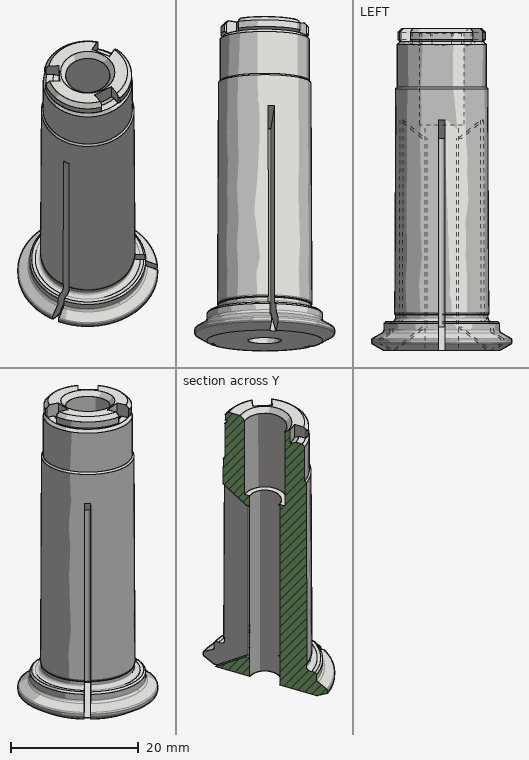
import cadquery as cq
import math

height = 50.5
rim_radius = 21.95 / 2

head_radius = 13.8 / 2
head_chamfer = 0.65
head_base_z = 48.45
groove_depth = 0.35
groove_radius = head_radius - groove_depth

neck_radius = 14.0 / 2
neck_base_z = 41.3
shank_top_radius = 7.25
shank_base_radius = 7.4
shank_base_z = 5.95
shank_end_radius = 7.35
shank_end_z = 5.75

relief_radius = 7.25
relief_top_z = 5.6
relief_base_z = 5.1
relief_outer_radius = 8.25
relief_arc_radius = 0.7
collar_radius = 9.1
collar_top_z = 4.55
collar_chamfer = 0.3

flange_angle = math.radians(30)
flange_base_radius = collar_radius
rim_middle_z = 1.45
rim_fillet = 0.3
collar_fillet = 0.55

bore_radius = 5.2 / 2
counterbore_radius = 6.9 / 2
counterbore_depth = 15.15
bore_mouth_radius = 8.5 / 2

count = 3

slot_width = 1.0
slot_first_angle = 60.0
slot_top_z = 36.1
slot_floor_top_z = 33.25
slot_floor_base_z = 3.75
slot_base_radius = 8.6
slot_floor_radius = 3.25

notch_width = 3.1
notch_first_angle = 0.0
notch_wall_radius = 4.45
notch_flare_start = 6.45
notch_ramp_radius = 10.9 / 2
notch_ramp_angle = math.radians(30)


def spin(profile):
    """Revolve a closed XZ profile a full turn about the Z axis."""
    return profile.revolve(360, (0, 0, 0), (0, 1, 0))


def turned(body, angle):
    """Rotate a body about the Z axis."""
    return body.rotate((0, 0, 0), (0, 0, 1), angle)


def circle_at(radius, z):
    """Select the circular edge of the given radius around the Z axis at height z."""
    margin = 0.025
    reach = radius + margin
    return cq.selectors.BoxSelector(
        (-reach, -reach, z - margin),
        (reach, reach, z + margin),
        boundingbox=True,
    )


def outer_body():
    """Revolve the outside profile, without the bore."""
    flange_rise = (rim_radius - flange_base_radius) * math.tan(flange_angle)
    flange_top_z = 2 * rim_middle_z
    upper_edge_z = flange_top_z - flange_rise
    groove_base_z = head_base_z - (neck_radius - groove_radius)
    neck_step = shank_top_radius - neck_radius
    profile = (
        cq.Workplane("XZ")
        .lineTo(flange_base_radius, 0)
        .lineTo(rim_radius, flange_rise)
        .lineTo(rim_radius, upper_edge_z)
        .lineTo(collar_radius, flange_top_z)
        .lineTo(collar_radius, collar_top_z - collar_chamfer)
        .lineTo(collar_radius - collar_chamfer, collar_top_z)
        .lineTo(relief_outer_radius, collar_top_z)
        .radiusArc((relief_radius, relief_base_z), relief_arc_radius)
        .lineTo(relief_radius, relief_top_z)
        .lineTo(shank_end_radius, shank_end_z)
        .lineTo(shank_base_radius, shank_base_z)
        .lineTo(shank_top_radius, neck_base_z - neck_step)
        .lineTo(neck_radius, neck_base_z)
        .lineTo(neck_radius, groove_base_z)
        .lineTo(groove_radius, head_base_z)
        .lineTo(head_radius, head_base_z + groove_depth)
        .lineTo(head_radius, height - head_chamfer)
        .lineTo(head_radius - head_chamfer, height)
        .lineTo(0, height)
        .close()
    )
    body = spin(profile)
    body = body.edges(circle_at(rim_radius, flange_rise)).fillet(rim_fillet)
    body = body.edges(circle_at(rim_radius, upper_edge_z)).fillet(rim_fillet)
    return body.edges(circle_at(collar_radius, flange_top_z)).fillet(collar_fillet)


def stepped_bore():
    """Through bore with a counterbore and a 45 degree mouth at the upper end."""
    seat_z = height - counterbore_depth
    mouth_depth = bore_mouth_radius - counterbore_radius
    profile = (
        cq.Workplane("XZ")
        .lineTo(bore_radius, 0)
        .lineTo(bore_radius, seat_z)
        .lineTo(counterbore_radius, seat_z)
        .lineTo(counterbore_radius, height - mouth_depth)
        .lineTo(bore_mouth_radius, height)
        .lineTo(0, height)
        .close()
    )
    return spin(profile)


def slot():
    """Lengthwise slot with sloping ends and a round-bottomed floor."""
    outside = rim_radius + slot_width
    blade = (
        cq.Workplane("XZ")
        .moveTo(slot_base_radius, 0)
        .lineTo(outside, 0)
        .lineTo(outside, slot_top_z)
        .lineTo(shank_top_radius, slot_top_z)
        .lineTo(slot_floor_radius, slot_floor_top_z)
        .lineTo(slot_floor_radius, slot_floor_base_z)
        .close()
        .extrude(slot_width / 2, both=True)
    )
    round_floor = (
        cq.Workplane("XY", origin=(slot_floor_radius, 0, slot_floor_base_z))
        .circle(slot_width / 2)
        .extrude(slot_floor_top_z - slot_floor_base_z)
    )
    return blade.union(round_floor)


def notch():
    """Driving notch in the head, beveled at its mouth, its floor dipping toward the inner wall."""
    outside = neck_radius + groove_depth
    half_width = notch_width / 2
    flared_half_width = half_width + outside - notch_flare_start
    window = (
        cq.Workplane("XY")
        .moveTo(notch_wall_radius, -half_width)
        .lineTo(notch_flare_start, -half_width)
        .lineTo(outside, -flared_half_width)
        .lineTo(outside, flared_half_width)
        .lineTo(notch_flare_start, half_width)
        .lineTo(notch_wall_radius, half_width)
        .close()
        .extrude(height)
    )
    ramp_drop = notch_ramp_radius * math.tan(notch_ramp_angle)
    floor_profile = (
        cq.Workplane("XZ")
        .lineTo(0, head_base_z - ramp_drop)
        .lineTo(notch_ramp_radius, head_base_z)
        .lineTo(outside, head_base_z)
        .lineTo(outside, height)
        .lineTo(0, height)
        .close()
    )
    return window.intersect(spin(floor_profile))


result = outer_body().cut(stepped_bore())
for index in range(count):
    turn = index * 360 / count
    result = result.cut(turned(slot(), slot_first_angle + turn))
    result = result.cut(turned(notch(), notch_first_angle + turn))